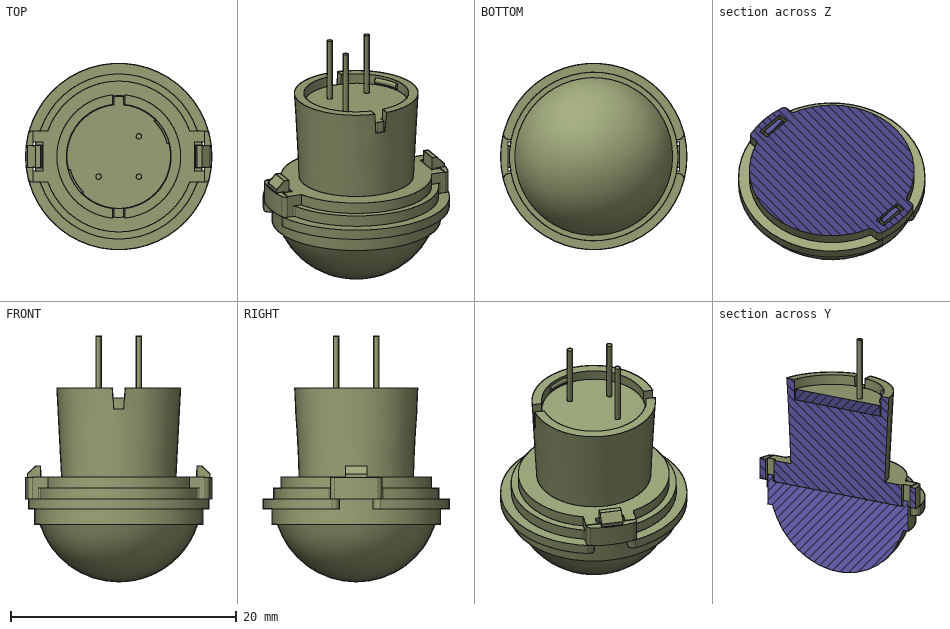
import cadquery as cq
import math

collar_bottom_z = 5.1
flange_bottom_z = 6.47
flange_top_z = 7.35
ring_top_z = 8.33
plate_top_z = 9.3
arm_rim_top_z = 9.26
hook_top_z = 10.3
notch_floor_z = 15.35
sensor_top_z = 16.33
tube_top_z = 17.2
pin_top_z = 21.8

dome_radius = flange_top_z
collar_radius = 7.48
flange_diameter = 16.55
flange_radius = flange_diameter / 2
flange_slot_half_width = 1.5
flange_slot_fillet = 0.52

hook_half_width = 0.95
hook_root_half_width = 1.02
hook_inner_x = 6.93
hook_root_inner_x = 6.82
hook_leg_outer_x = 7.4
hook_tip_x = 8.1
hook_tip_height = 0.3
hook_crest_x = 7.37

plate_radius = 6.7
ring_radius = 7.32
arm_half_width = 2.27
arm_corner_fillet = 0.41
arm_root_fillet = 0.2
window_inner_x = 6.74
window_outer_x = 7.59
window_half_width = 1.26

tube_bottom_radius = 5.08
tube_top_radius = 5.5
recess_radius = 4.65
notch_floor_half_width = 0.44
notch_top_half_width = 0.57

bead_radius = 0.28
bead_protrusion = 0.2
bead_center_z = 16.68
bead_start_angle = 15
bead_span_angle = 30

sensor_radius = 4.6
tab_half_width = 0.41
tab_end_y = 5.35
tab_corner_fillet = 0.15
pin_radius = 0.25
pin_offset = 1.79
pin_places = [(-pin_offset, -pin_offset), (pin_offset, -pin_offset), (pin_offset, pin_offset)]


def disc(radius, bottom_z, top_z):
    return cq.Workplane("XY").workplane(offset=bottom_z).circle(radius).extrude(top_z - bottom_z)


def block(x_range, y_range, z_range):
    """Box between the given limits along each axis."""
    sizes = [high - low for low, high in (x_range, y_range, z_range)]
    corner = (x_range[0], y_range[0], z_range[0])
    return cq.Workplane("XY").box(*sizes, centered=False).translate(corner)


def both_ends(shape):
    """The +X shape together with its copy turned half a turn about Z."""
    return [shape, shape.rotate((0, 0, 0), (0, 0, 1), 180)]


def fillet_side_corners(shape, circle_radius, half_width, z, fillet_radius):
    """Round the four upright edges where a circle about Z meets the lines y = +/- half_width."""
    corner_x = math.sqrt(circle_radius**2 - half_width**2)
    for side_x in (-corner_x, corner_x):
        for side_y in (-half_width, half_width):
            nearest = cq.NearestToPointSelector((side_x, side_y, z))
            shape = shape.edges("|Z").edges(nearest).fillet(fillet_radius)
    return shape


def make_hook():
    """Snap hook at +X: a leg tapering upwards with a sloped catch that rests on the arm's rim."""
    profile = (
        cq.Workplane("XZ")
        .moveTo(hook_root_inner_x, flange_top_z)
        .lineTo(hook_leg_outer_x, flange_top_z)
        .lineTo(hook_leg_outer_x, arm_rim_top_z)
        .lineTo(hook_tip_x, arm_rim_top_z)
        .lineTo(hook_tip_x, arm_rim_top_z + hook_tip_height)
        .lineTo(hook_crest_x, hook_top_z)
        .lineTo(hook_inner_x, hook_top_z)
        .close()
        .extrude(hook_root_half_width, both=True)
    )
    width_profile = (
        cq.Workplane("YZ")
        .moveTo(-hook_root_half_width, flange_top_z)
        .lineTo(hook_root_half_width, flange_top_z)
        .lineTo(hook_half_width, arm_rim_top_z)
        .lineTo(hook_half_width, hook_top_z)
        .lineTo(-hook_half_width, hook_top_z)
        .lineTo(-hook_half_width, arm_rim_top_z)
        .close()
        .extrude(flange_radius)
    )
    return profile.intersect(width_profile)


def make_flange():
    """Flange with a rounded slot at each X end, cut down to the collar."""
    slots = block(
        (-flange_radius, flange_radius),
        (-flange_slot_half_width, flange_slot_half_width),
        (flange_bottom_z, flange_top_z),
    ).cut(disc(collar_radius, flange_bottom_z, flange_top_z))
    flange = disc(flange_radius, flange_bottom_z, flange_top_z).cut(slots)
    return fillet_side_corners(
        flange, flange_radius, flange_slot_half_width, flange_top_z, flange_slot_fillet
    )


def make_lens():
    dome = cq.Workplane("XY").sphere(dome_radius).translate((0, 0, flange_top_z))
    dome = dome.intersect(disc(dome_radius, 0, collar_bottom_z))
    lens = make_flange().union(disc(collar_radius, collar_bottom_z, flange_top_z)).union(dome)
    for hook in both_ends(make_hook()):
        lens = lens.union(hook)
    return lens


def make_arms(bottom_z, top_z):
    """Bar across the housing whose ends follow the flange's rim and have rounded corners."""
    bar = block(
        (-flange_radius, flange_radius),
        (-arm_half_width, arm_half_width),
        (bottom_z, top_z),
    )
    bar = bar.intersect(disc(flange_radius, bottom_z, top_z))
    return bar.edges("|Z").fillet(arm_corner_fillet)


def make_base():
    """Ring and plate with the two arms, the hook windows and the lowered arm rims."""
    ring = disc(ring_radius, flange_top_z, ring_top_z).union(make_arms(flange_top_z, ring_top_z))
    ring = fillet_side_corners(ring, ring_radius, arm_half_width, ring_top_z, arm_root_fillet)
    plate = disc(plate_radius, ring_top_z, plate_top_z).union(make_arms(ring_top_z, plate_top_z))
    base = ring.union(plate)

    window = block(
        (window_inner_x, window_outer_x),
        (-window_half_width, window_half_width),
        (flange_top_z, plate_top_z),
    )
    rim_step = block(
        (window_outer_x, flange_radius),
        (-arm_half_width, arm_half_width),
        (arm_rim_top_z, plate_top_z),
    )
    for cutter in both_ends(window) + both_ends(rim_step):
        base = base.cut(cutter)
    return base


def make_notch_cutter():
    """Wedge along Y that opens a tapered notch in both sides of the tube."""
    return (
        cq.Workplane("XZ")
        .moveTo(-notch_floor_half_width, notch_floor_z)
        .lineTo(notch_floor_half_width, notch_floor_z)
        .lineTo(notch_top_half_width, tube_top_z)
        .lineTo(-notch_top_half_width, tube_top_z)
        .close()
        .extrude(2 * tube_top_radius, both=True)
    )


def make_bead():
    """Part of a torus standing out of the recess wall just above the sensor."""
    bead_center_radius = recess_radius - bead_protrusion + bead_radius
    return (
        cq.Workplane("XZ")
        .center(bead_center_radius, bead_center_z)
        .circle(bead_radius)
        .revolve(bead_span_angle, (-bead_center_radius, 0), (-bead_center_radius, -1))
        .rotate((0, 0, 0), (0, 0, 1), bead_start_angle + bead_span_angle)
    )


def make_housing():
    tube = (
        cq.Workplane("XY")
        .workplane(offset=plate_top_z)
        .circle(tube_bottom_radius)
        .workplane(offset=tube_top_z - plate_top_z)
        .circle(tube_top_radius)
        .loft()
    )
    housing = make_base().union(tube)
    housing = housing.cut(disc(recess_radius, notch_floor_z, tube_top_z)).cut(make_notch_cutter())
    for bead in both_ends(make_bead()):
        housing = housing.union(bead)
    return housing


def make_sensor():
    """Disc on the recess floor with a tab that lies in the +Y notch."""
    tab = block(
        (-tab_half_width, tab_half_width),
        (0, tab_end_y),
        (notch_floor_z, sensor_top_z),
    )
    tab = tab.edges("|Z and >Y").fillet(tab_corner_fillet)
    return disc(sensor_radius, notch_floor_z, sensor_top_z).union(tab)


def make_pin(place):
    return disc(pin_radius, sensor_top_z, pin_top_z).translate((*place, 0))


lens = make_lens()
housing = make_housing()
sensor = make_sensor()
pins = [make_pin(place) for place in pin_places]

result = cq.Compound.makeCompound(
    [body.solids().val() for body in (lens, housing, sensor, *pins)]
)